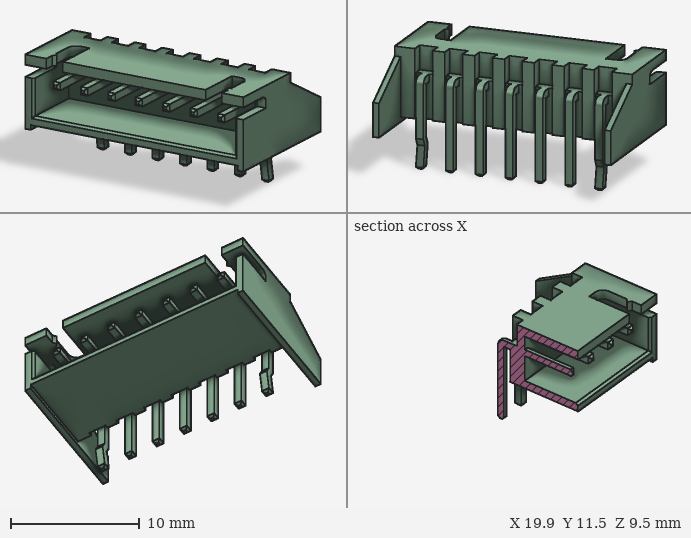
import cadquery as cq
import math

width = 19.9
height = 6.1
overall_height = 9.5
body_depth = 7.0
wing_depth = 11.5
side_plate = 0.5
foot_drop = 0.4
wing_step_drop = 0.8
wing_back_height = 2.8

wall = 0.8
lid = 0.85
floor = 0.75
cavity_depth = 5.2
mouth_chamfer = 0.2
cavity_width = width - 2 * wall
cavity_bottom = foot_drop + floor
cavity_top = height - lid

window_depth = 3.35
window_height = 1.0
window_radius = 0.5
window_bottom = cavity_top - window_height

key_width = 1.5
key_depth = 3.93
key_outer_x = 8.0
key_radius = 0.75
bump_y = 1.15
bump_height = 0.25
bump_half_length = 0.27

pin_count = 7
pitch = 2.5
pin = 0.64
pin_top_drop = 2.03
pin_top = height - pin_top_drop
pin_front = 0.5
leg_back = 7.9
leg_bottom = height - overall_height
tip_chamfer = 0.2
kink_start_drop = 7.0
kink_peak_drop = 7.6
kink_end_drop = 9.25
kink_start = height - kink_start_drop
kink_peak = height - kink_peak_drop
kink_end = height - kink_end_drop
kink_offset = 0.3

notch_width = 1.5
notch_front = 6.0
rear_face = 6.7
ledge_slope_drop = 0.03
ledge_rear_z = pin_top

pin_positions = [(i - (pin_count - 1) / 2) * pitch for i in range(pin_count)]


def box(x0, x1, y0, y1, z0, z1):
    """Box between two opposite corners."""
    return cq.Workplane("XY").box(x1 - x0, y1 - y0, z1 - z0, centered=False).translate((x0, y0, z0))


def extrude_along_x(profile_yz, center_x, thickness):
    """Extrude a closed (y, z) outline, centred on center_x."""
    sketch = cq.Workplane("YZ", origin=(center_x, 0, 0)).polyline(profile_yz).close()
    return sketch.extrude(thickness / 2, both=True)


def make_housing():
    body = box(-width / 2, width / 2, 0, body_depth, foot_drop, height)
    plate_profile = [
        (0, 0),
        (wing_depth, 0),
        (wing_depth, wing_back_height),
        (body_depth, height - wing_step_drop),
        (body_depth, height),
        (0, height),
    ]
    plate_x = (width - side_plate) / 2
    for side in (-1, 1):
        body = body.union(extrude_along_x(plate_profile, side * plate_x, side_plate))
    return body


def make_cavity():
    """Open-fronted cavity with a lead-in chamfer on its floor and side walls, below the side windows."""
    cavity = box(-cavity_width / 2, cavity_width / 2, 0, cavity_depth, cavity_bottom, cavity_top)
    inner_height = window_bottom - cavity_bottom
    lead_in = (
        cq.Workplane("XZ", origin=(0, 0, window_bottom))
        .center(0, -(inner_height + mouth_chamfer) / 2)
        .rect(cavity_width + 2 * mouth_chamfer, inner_height + mouth_chamfer)
        .workplane(offset=-mouth_chamfer)
        .center(0, mouth_chamfer / 2)
        .rect(cavity_width, inner_height)
        .loft(ruled=True)
    )
    return cavity.union(lead_in)


def make_side_window():
    window = box(-width / 2, width / 2, 0, window_depth, window_bottom, cavity_top)
    return window.edges("|X and >Y and >Z").fillet(window_radius)


def make_key_slot(side):
    slot = box(key_outer_x - key_width, key_outer_x, 0, key_depth, cavity_top, height)
    slot = slot.edges("|Z and >X and >Y").fillet(key_radius)
    bump = (
        cq.Workplane("XY", origin=(key_outer_x, bump_y, cavity_top))
        .polyline([(0, -bump_half_length), (-bump_height, 0), (0, bump_half_length)])
        .close()
        .extrude(lid)
    )
    slot = slot.cut(bump)
    return slot if side > 0 else slot.mirror("YZ")


def make_notch(x):
    """Rear notch: a deep opening above a slightly sloping ledge, and a shallow groove below it."""
    profile = [
        (body_depth, foot_drop),
        (rear_face, foot_drop),
        (rear_face, ledge_rear_z),
        (notch_front, ledge_rear_z + ledge_slope_drop),
        (notch_front, height),
        (body_depth, height),
    ]
    return extrude_along_x(profile, x, notch_width)


def make_pin(x, kinked):
    """Square contact: blade along Y, rounded outer bend, then a straight or kinked leg going down."""
    leg_front = leg_back - pin
    pin_bottom = pin_top - pin
    outline = cq.Workplane("YZ", origin=(x, 0, 0)).moveTo(pin_front, pin_top)
    outline = outline.lineTo(pin_front, pin_bottom).lineTo(leg_front, pin_bottom)
    if kinked:
        outline = outline.lineTo(leg_front, kink_start).lineTo(leg_front - kink_offset, kink_peak)
        outline = outline.lineTo(leg_front, kink_end)
    outline = outline.lineTo(leg_front, leg_bottom).lineTo(leg_back, leg_bottom)
    if kinked:
        outline = outline.lineTo(leg_back, kink_end)
        outline = outline.lineTo(leg_back - kink_offset, kink_peak).lineTo(leg_back, kink_start)
    bend_middle = pin * math.sqrt(0.5)
    outline = outline.lineTo(leg_back, pin_bottom).threePointArc(
        (leg_front + bend_middle, pin_bottom + bend_middle), (leg_front, pin_top)
    )
    contact = outline.close().extrude(pin / 2, both=True)
    return contact.faces("<Y").chamfer(tip_chamfer).faces("<Z").chamfer(tip_chamfer)


end_pins = (pin_positions[0], pin_positions[-1])

result = make_housing().cut(make_cavity()).cut(make_side_window())
for side in (-1, 1):
    result = result.cut(make_key_slot(side))
for x in pin_positions:
    result = result.cut(make_notch(x))
for x in pin_positions:
    result = result.union(make_pin(x, kinked=x in end_pins))